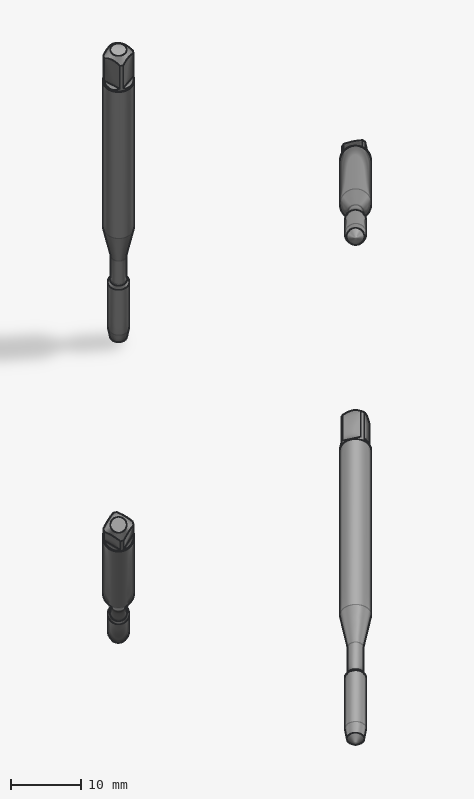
import cadquery as cq
import math

total_length = 63.97

thread_radius = 3.08 / 2
point_radius = 1.25
point_height = point_radius
lead_top_z = 3.2
thread_back_radius = 1.225
back_angle = math.radians(30)

neck_radius = 2.29 / 2
head_joint_z = 13.62
thread_top_z = head_joint_z - (thread_radius - thread_back_radius) / math.tan(back_angle)
neck_bottom_z = 13.9
neck_top_z = 18.98
shank_radius = 4.5 / 2
taper_angle = math.radians(10)
taper_top_z = neck_top_z + (shank_radius - neck_radius) / math.tan(taper_angle)

square_width = 3.4
drive_sides = 4
quarter_turn = 360 / drive_sides
square_length = 6.0
corner_radius = 4.32 / 2
end_face_radius = 1.16
square_base_z = total_length - square_length

shoulder_gap = 0.6
shoulder_top_z = square_base_z - shoulder_gap
shoulder_bottom_z = shoulder_top_z - (shank_radius - corner_radius)


def revolved(profile):
    """Turn (radius, height) points about the Z axis."""
    return cq.Workplane("XZ").polyline(profile).close().revolve(360, (0, 0, 0), (0, 1, 0))


def make_cutting_head():
    """Conical point, tapered lead, threaded length and tapered back end."""
    return revolved([
        (0, 0),
        (point_radius, point_height),
        (thread_radius, lead_top_z),
        (thread_radius, thread_top_z),
        (thread_back_radius, head_joint_z),
        (0, head_joint_z),
    ])


def make_flat_cutter():
    """Material outside one drive flat on the +X side, with a 45 degree run-out below it."""
    flat = square_width / 2
    reach = shank_radius - flat
    return (
        cq.Workplane("XZ")
        .moveTo(flat, total_length)
        .lineTo(flat, square_base_z)
        .lineTo(flat + reach, square_base_z - reach)
        .lineTo(flat + reach, total_length)
        .close()
        .extrude(shank_radius, both=True)
    )


def make_shank():
    """Neck, taper and cylindrical shank with a square drive at the end."""
    end_chamfer = corner_radius - end_face_radius
    shank = revolved([
        (0, head_joint_z),
        (thread_back_radius, head_joint_z),
        (neck_radius, neck_bottom_z),
        (neck_radius, neck_top_z),
        (shank_radius, taper_top_z),
        (shank_radius, shoulder_bottom_z),
        (corner_radius, shoulder_top_z),
        (corner_radius, total_length - end_chamfer),
        (end_face_radius, total_length),
        (0, total_length),
    ])
    for side in range(drive_sides):
        shank = shank.cut(make_flat_cutter().rotate((0, 0, 0), (0, 0, 1), quarter_turn * side))
    return shank


cutting_head = make_cutting_head()
shank = make_shank()
result = cq.Compound.makeCompound([cutting_head.val(), shank.val()])